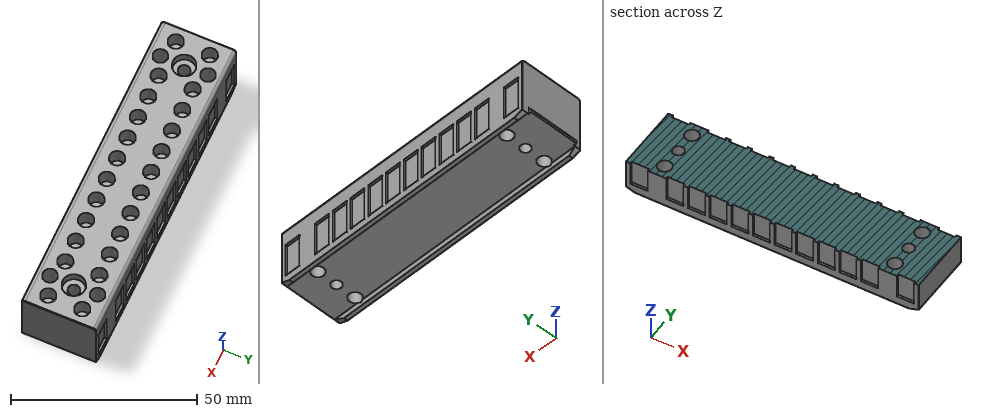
import cadquery as cq

body_length = 92.15
body_width = 22.0
body_height = 20.15
top_edge_radius = 1.0
end_edge_chamfer = 0.2

channel_depth = 1.0
channel_floor_width = 17.8
channel_mouth_width = 19.2
foot_end_slope_length = 3.0

terminal_pitch = 6.8
inner_terminal_count = 10
end_terminal_offset = 41.85
terminal_xs = [(i - (inner_terminal_count - 1) / 2) * terminal_pitch for i in range(inner_terminal_count)]
terminal_xs += [-end_terminal_offset, end_terminal_offset]

screw_hole_diameter = 4.4
screw_row_offset = 5.0

pocket_width = 5.4
pocket_bottom = 2.65
pocket_height = 11.65
pocket_depth = 0.75
screw_hole_depth = body_height - pocket_bottom - pocket_height

mount_offset = 36.2
mount_bore_diameter = 3.4
mount_counterbore_diameter = 6.6
mount_counterbore_depth = 3.0
side_hole_diameter = 4.2
side_hole_offset = 7.0

latch_reach = 1.0
latch_width = 17.0
latch_nose_top = 2.1
latch_top = 3.5
latch_hollow_radius = 2.0


def make_body():
    block = cq.Workplane("XY").box(body_length, body_width, body_height, centered=(True, True, False))
    block = block.faces(">Z").edges("|X").fillet(top_edge_radius)
    return block.faces("<X or >X").edges("not <Z").chamfer(end_edge_chamfer)


def make_channel():
    """Trapezoidal channel, wider at its open underside."""
    return (
        cq.Workplane("YZ")
        .polyline([
            (-channel_mouth_width / 2, 0),
            (channel_mouth_width / 2, 0),
            (channel_floor_width / 2, channel_depth),
            (-channel_floor_width / 2, channel_depth),
        ])
        .close()
        .extrude(body_length / 2, both=True)
    )


def make_foot_end_slope(side):
    """Wedge that slopes the feet up to the channel floor at one end."""
    end_x = side * body_length / 2
    return (
        cq.Workplane("XZ")
        .polyline([
            (end_x, 0),
            (end_x, channel_depth),
            (end_x - side * foot_end_slope_length, 0),
        ])
        .close()
        .extrude(body_width / 2, both=True)
    )


def make_top_hole(x, y, diameter, depth):
    return cq.Workplane("XY", origin=(x, y, body_height - depth)).circle(diameter / 2).extrude(depth)


def make_pocket(x, side):
    """Recess centred on the long side face, so half of the cutter lies inside the block."""
    return cq.Workplane("XY", origin=(x, side * body_width / 2, pocket_bottom)).box(
        pocket_width, 2 * pocket_depth, pocket_height, centered=(True, True, False)
    )


def make_latch():
    """Lip with a flat underside, an upright nose and a hollow upper side."""
    face_x = -body_length / 2
    nose_x = face_x - latch_reach
    return (
        cq.Workplane("XZ")
        .moveTo(face_x, channel_depth)
        .lineTo(nose_x, channel_depth)
        .lineTo(nose_x, latch_nose_top)
        .radiusArc((face_x, latch_top), -latch_hollow_radius)
        .close()
        .extrude(latch_width / 2, both=True)
    )


result = make_body().cut(make_channel())

for side in (-1, 1):
    result = result.cut(make_foot_end_slope(side))
    for x in terminal_xs:
        result = result.cut(make_top_hole(x, side * screw_row_offset, screw_hole_diameter, screw_hole_depth))
        result = result.cut(make_pocket(x, side))

for mount_x in (-mount_offset, mount_offset):
    result = result.cut(make_top_hole(mount_x, 0, mount_bore_diameter, body_height))
    result = result.cut(make_top_hole(mount_x, 0, mount_counterbore_diameter, mount_counterbore_depth))
    for side in (-1, 1):
        result = result.cut(make_top_hole(mount_x, side * side_hole_offset, side_hole_diameter, body_height))

result = result.union(make_latch())